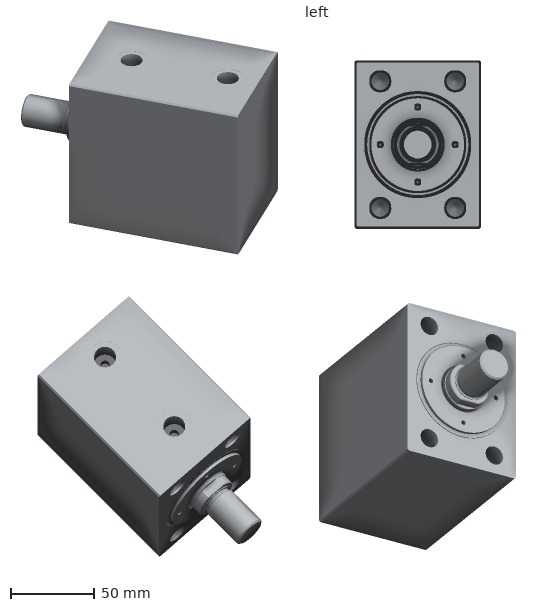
import cadquery as cq
import math


BLOCK_LENGTH = 107
BLOCK_WIDTH = 75
BLOCK_HEIGHT = 100
BLOCK_CHAMFER = 1

DRILL_POINT_ANGLE = 118
MOUNT_HOLE_DIAMETER = 12
MOUNT_HOLE_DEPTH = 25
MOUNT_SPACING_Y = 45
MOUNT_SPACING_Z = 76

PORT_POSITIONS_X = (27, 88)
SPOTFACE_DIAMETER = 20
SPOTFACE_DEPTH = 0.1
PORT_DIAMETER = 13.2
PORT_DEPTH = 13
OIL_HOLE_DIAMETER = 5.5
OIL_HOLE_LENGTH = 5

GLAND_DIAMETER = 62
GLAND_DEPTH = 15
GLAND_SEAT_CHAMFER = 0.5
GLAND_BOSS_DIAMETER = 57
GLAND_BOSS_HEIGHT = 2
SPANNER_HOLE_COUNT = 4
SPANNER_HOLE_DIAMETER = 3
SPANNER_HOLE_DEPTH = 5
SPANNER_CIRCLE_DIAMETER = 45

WIPER_DIAMETER = 28
WIPER_PROJECTION = 2
WIPER_CHAMFER = 0.3
WIPER_SEAT_DEPTH = 5
WIPER_RECESS_DIAMETER = 31
WIPER_RECESS_DEPTH = 1.5

ROD_REACH = 40
ROD_DIAMETER = 27
ROD_SHOULDER_REACH = 10
ROD_SHOULDER_CHAMFER = 0.5
WRENCH_WIDTH = 24
THREAD_DIAMETER = 20
THREAD_CHAMFER = 1
NECK_DIAMETER = 18
NECK_REACH = 12.5
NECK_CHAMFER = 0.5
NECK_COLLAR_LENGTH = 0.5
NECK_COLLAR_DIAMETER = 20.6

BOSS_FACE_X = -GLAND_BOSS_HEIGHT
WIPER_FACE_X = BOSS_FACE_X - WIPER_PROJECTION
WIPER_BACK_X = BOSS_FACE_X + WIPER_SEAT_DEPTH


def cylinder(diameter, x_start, x_end):
    """Cylinder on the rod axis between two X positions."""
    return cq.Workplane("YZ", origin=(x_start, 0, 0)).circle(diameter / 2).extrude(x_end - x_start)


def cone(start_diameter, end_diameter, x_start, x_end):
    """Truncated cone on the rod axis between two X positions."""
    solid = cq.Solid.makeCone(
        start_diameter / 2, end_diameter / 2, x_end - x_start,
        cq.Vector(x_start, 0, 0), cq.Vector(1, 0, 0),
    )
    return cq.Workplane(obj=solid)


def drilled_hole(diameter, depth, x_face, y, z):
    """Cutter for a blind hole along +X that ends in a drill point."""
    point_length = diameter / 2 / math.tan(math.radians(DRILL_POINT_ANGLE / 2))
    shank = cylinder(diameter, x_face, x_face + depth)
    point = cone(diameter, 0, x_face + depth, x_face + depth + point_length)
    return shank.union(point).translate((0, y, z))


def port_cutter(x):
    """Cutter for one oil port: shallow spotface, threaded bore and oil hole."""
    top = cq.Workplane("XY", origin=(x, 0, BLOCK_HEIGHT / 2))
    spotface = top.circle(SPOTFACE_DIAMETER / 2).extrude(-SPOTFACE_DEPTH)
    bore = top.circle(PORT_DIAMETER / 2).extrude(-PORT_DEPTH)
    oil_hole = top.circle(OIL_HOLE_DIAMETER / 2).extrude(-(PORT_DEPTH + OIL_HOLE_LENGTH))
    return spotface.union(bore).union(oil_hole)


def make_housing():
    block = cq.Workplane("XY").box(BLOCK_LENGTH, BLOCK_WIDTH, BLOCK_HEIGHT)
    block = block.translate((BLOCK_LENGTH / 2, 0, 0))
    block = block.edges("|X").chamfer(BLOCK_CHAMFER)

    seat_mouth_diameter = GLAND_DIAMETER + 2 * GLAND_SEAT_CHAMFER
    block = block.cut(cylinder(GLAND_DIAMETER, 0, GLAND_DEPTH))
    block = block.cut(cone(seat_mouth_diameter, GLAND_DIAMETER, 0, GLAND_SEAT_CHAMFER))

    for side_y in (-1, 1):
        for side_z in (-1, 1):
            y = side_y * MOUNT_SPACING_Y / 2
            z = side_z * MOUNT_SPACING_Z / 2
            block = block.cut(drilled_hole(MOUNT_HOLE_DIAMETER, MOUNT_HOLE_DEPTH, 0, y, z))

    for x in PORT_POSITIONS_X:
        block = block.cut(port_cutter(x))
    return block


def make_gland():
    gland = cylinder(GLAND_DIAMETER, 0, GLAND_DEPTH)
    gland = gland.union(cylinder(GLAND_BOSS_DIAMETER, BOSS_FACE_X, 0))
    gland = gland.cut(cylinder(ROD_DIAMETER, BOSS_FACE_X, GLAND_DEPTH))

    gland = gland.cut(cylinder(WIPER_DIAMETER, BOSS_FACE_X, WIPER_BACK_X))
    recess_floor_x = BOSS_FACE_X + WIPER_RECESS_DEPTH
    gland = gland.cut(cone(WIPER_RECESS_DIAMETER, WIPER_DIAMETER, BOSS_FACE_X, recess_floor_x))

    for index in range(SPANNER_HOLE_COUNT):
        angle = 2 * math.pi * index / SPANNER_HOLE_COUNT
        y = SPANNER_CIRCLE_DIAMETER / 2 * math.cos(angle)
        z = SPANNER_CIRCLE_DIAMETER / 2 * math.sin(angle)
        gland = gland.cut(drilled_hole(SPANNER_HOLE_DIAMETER, SPANNER_HOLE_DEPTH, BOSS_FACE_X, y, z))
    return gland


def make_wiper():
    ring = cylinder(WIPER_DIAMETER, WIPER_FACE_X, WIPER_BACK_X)
    ring = ring.faces("<X").edges().chamfer(WIPER_CHAMFER)
    return ring.cut(cylinder(ROD_DIAMETER, WIPER_FACE_X, WIPER_BACK_X))


def make_rod():
    thread_radius = THREAD_DIAMETER / 2
    neck_radius = NECK_DIAMETER / 2
    collar_radius = NECK_COLLAR_DIAMETER / 2
    collar_x = -ROD_SHOULDER_REACH - NECK_COLLAR_LENGTH

    profile = [
        (-ROD_REACH, 0),
        (-ROD_REACH, thread_radius - THREAD_CHAMFER),
        (-ROD_REACH + THREAD_CHAMFER, thread_radius),
        (-NECK_REACH - NECK_CHAMFER, thread_radius),
        (-NECK_REACH, neck_radius),
        (collar_x, neck_radius),
        (collar_x, collar_radius),
        (-ROD_SHOULDER_REACH, collar_radius),
        (-ROD_SHOULDER_REACH, 0),
    ]
    front = cq.Workplane("XY").polyline(profile).close().revolve(360, (0, 0, 0), (1, 0, 0))
    body = cylinder(ROD_DIAMETER, -ROD_SHOULDER_REACH, GLAND_DEPTH)

    flat_length = ROD_SHOULDER_REACH + WIPER_FACE_X
    flat_center_x = WIPER_FACE_X - flat_length / 2
    for side in (-1, 1):
        cutter = cq.Workplane("XY").box(flat_length, ROD_DIAMETER, ROD_DIAMETER)
        body = body.cut(cutter.translate((flat_center_x, 0, side * (WRENCH_WIDTH + ROD_DIAMETER) / 2)))

    body = body.faces("<X").edges().chamfer(ROD_SHOULDER_CHAMFER)
    return front.union(body)


housing = make_housing()
gland = make_gland()
wiper = make_wiper()
rod = make_rod()

result = cq.Compound.makeCompound([housing.val(), gland.val(), wiper.val(), rod.val()])